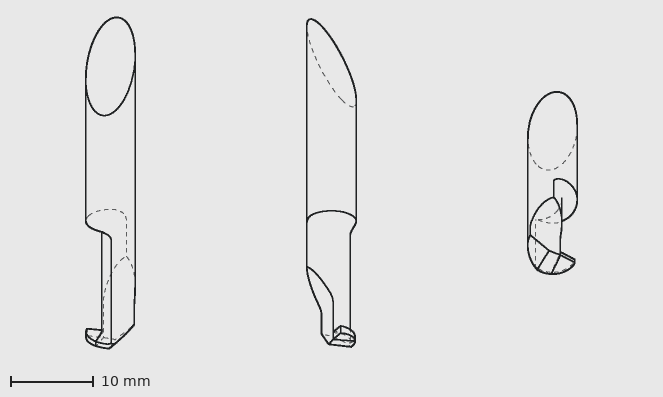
import cadquery as cq
import math

length = 42.45
shank_radius = 2.99
end_slope = math.tan(math.radians(60))

shoulder_z = 16.15
neck_radius = 2.95
neck_side_x = -0.98
neck_axis_x = neck_side_x + neck_radius
shoulder_fillet = 1.0
foot_fillet = 0.25

foot_height = 0.98
rake_y = 0.15
top_slope = math.tan(math.radians(2))
bottom_slope = math.tan(math.radians(5))
joint_x = neck_side_x
chamfer = 2.45

relief_top_z = 10.45
relief_fillet = 2.12

tip_x = -2.95
cutting_edge_y = -0.05

rim_radius = 3.23
rim_center = (0.15, 0.35)

reach = 3 * shank_radius


def side_prism(points):
    """Prism along X through the whole part, from (Y, Z) corner points."""
    return cq.Workplane("YZ").polyline(points).close().extrude(reach, both=True)


def foot_top_z(y):
    return foot_height + top_slope * (y - rake_y)


def foot_bottom_z(y):
    return bottom_slope * (rake_y - y)


def top_bevel():
    low_z = length - 2 * shank_radius * end_slope
    return side_prism([
        (shank_radius, length),
        (-shank_radius, low_z),
        (-reach, low_z),
        (-reach, length + reach),
        (shank_radius, length + reach),
    ])


def neck_clearance():
    """Space around the neck, with rounded corners at the shoulder and the foot."""
    band = side_prism([
        (-reach, foot_top_z(-reach)),
        (reach, foot_top_z(reach)),
        (reach, shoulder_z),
        (-reach, shoulder_z),
    ])
    neck = cq.Workplane("XY").center(neck_axis_x, 0).circle(neck_radius).extrude(length)
    near_side = cq.Workplane("XY").box(
        reach, 3 * reach, length, centered=(False, True, False)
    ).translate((neck_axis_x - reach, 0, 0))
    clearance = band.intersect(near_side).cut(neck)
    neck_wall = cq.selectors.BoxSelector(
        (neck_axis_x - neck_radius - 0.42, -neck_radius, 0),
        (neck_axis_x - 0.42, neck_radius, length),
    )
    clearance = clearance.edges("%CIRCLE").edges(">Z").fillet(shoulder_fillet)
    return clearance.edges("%ELLIPSE").edges(neck_wall).edges("<Z").fillet(foot_fillet)


def flank_relief():
    """Space behind the rake plane, running out through the flank."""
    knee_z = relief_top_z - (shank_radius - rake_y) * end_slope
    run_out_z = relief_top_z + (reach - shank_radius) * end_slope
    relief = side_prism([
        (rake_y, -reach),
        (rake_y, knee_z),
        (reach, run_out_z),
        (reach, -reach),
    ])
    knee = cq.selectors.BoxSelector(
        (-reach, rake_y - 0.42, knee_z - 0.42), (reach, rake_y + 0.42, knee_z + 0.42)
    )
    return relief.edges(knee).edges("|X").fillet(relief_fillet)


def foot_underside():
    return side_prism([
        (rake_y, 0),
        (-reach, foot_bottom_z(-reach)),
        (-reach, -reach),
        (rake_y, -reach),
    ])


def corner_chamfer():
    return (
        cq.Workplane("XZ")
        .polyline([
            (shank_radius - chamfer, 0),
            (shank_radius, chamfer),
            (reach, chamfer),
            (reach, -reach),
            (shank_radius - chamfer, -reach),
        ])
        .close()
        .extrude(reach, both=True)
    )


def rim_disc():
    return cq.Workplane("XY").center(*rim_center).circle(rim_radius).extrude(foot_height)


def foot_trim():
    """Space outside the rim, on the near side of the foot."""
    surround = cq.Workplane("XY").box(
        2 * shank_radius, reach, foot_height, centered=(True, False, False)
    ).translate((0, rake_y - reach, 0))
    return surround.cut(rim_disc())


def tip_seat():
    return cq.Workplane("XY").box(
        reach, 2 * reach, foot_height + foot_fillet, centered=(False, True, False)
    ).translate((joint_x - reach, 0, 0))


def make_bar():
    bar = cq.Workplane("XY").circle(shank_radius).extrude(length)
    bar = bar.cut(top_bevel())
    bar = bar.cut(neck_clearance())
    bar = bar.cut(flank_relief())
    bar = bar.cut(foot_underside())
    bar = bar.cut(foot_trim())
    bar = bar.cut(corner_chamfer())
    return bar.cut(tip_seat()).solids()


def make_cutting_tip():
    outline = (
        cq.Workplane("XY")
        .polyline([
            (joint_x, rake_y),
            (tip_x, cutting_edge_y),
            (tip_x, -reach),
            (joint_x, -reach),
        ])
        .close()
        .extrude(foot_height)
        .intersect(rim_disc())
    )
    taper = side_prism([
        (rake_y, foot_bottom_z(rake_y)),
        (rake_y, foot_top_z(rake_y)),
        (-reach, foot_top_z(-reach)),
        (-reach, foot_bottom_z(-reach)),
    ])
    return outline.intersect(taper).solids()


bar = make_bar()
cutting_tip = make_cutting_tip()
result = cq.Compound.makeCompound([bar.val(), cutting_tip.val()])